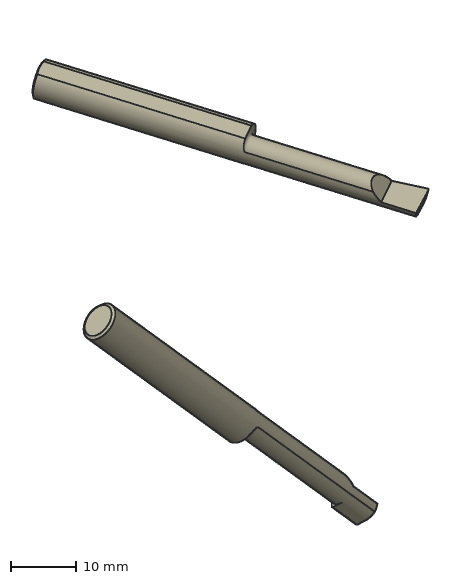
import cadquery as cq
import math

total_length = 63.5
shank_diameter = 6.35
shank_radius = shank_diameter / 2
shank_length = 34.5
flat_height = 2.885
end_chamfer_length = 0.3
end_chamfer_depth = 0.5

neck_radius = 2.31
neck_back_y = 1.27
neck_center_y = neck_back_y - neck_radius
neck_fillet = flat_height - neck_radius

head_start_x = 57.6
rake_slope_angle = 45
tip_y = 1.87
nose_radius = 0.2
side_angle = 6.1
end_face_angle = 2
end_relief_angle = 8
side_relief_angle = 8

nose_x = total_length - nose_radius
nose_y = tip_y - nose_radius
end_normal_angle = -end_face_angle
side_normal_angle = 90 + side_angle


def x_cylinder(radius, start_x, end_x, center_y=0):
    """Cylinder along X between two stations."""
    return (
        cq.Workplane("YZ", origin=(start_x, center_y, 0))
        .circle(radius)
        .extrude(end_x - start_x)
    )


def make_shank():
    """Round shank with a chamfered rear end and a clamping flat on top."""
    profile = [
        (0, 0),
        (0, shank_radius - end_chamfer_depth),
        (end_chamfer_length, shank_radius),
        (shank_length, shank_radius),
        (shank_length, 0),
    ]
    shank = cq.Workplane("XY").polyline(profile).close().revolve(360, (0, 0, 0), (1, 0, 0))
    above_flat = (
        cq.Workplane("XY", origin=(shank_length / 2, 0, flat_height))
        .box(shank_length, shank_diameter, shank_radius, centered=(True, True, False))
    )
    return shank.cut(above_flat)


def make_neck():
    """Offset round neck with a concave flare where it leaves the shank."""
    flare_end_x = shank_length + neck_fillet
    flare_radius = neck_radius + neck_fillet
    arc_offset = neck_fillet * (1 - math.sqrt(0.5))
    flare = (
        cq.Workplane("XY", origin=(0, neck_center_y, 0))
        .moveTo(shank_length, 0)
        .lineTo(shank_length, flare_radius)
        .threePointArc(
            (shank_length + arc_offset, neck_radius + arc_offset),
            (flare_end_x, neck_radius),
        )
        .lineTo(total_length, neck_radius)
        .lineTo(total_length, 0)
        .close()
        .revolve(360, (0, 0, 0), (1, 0, 0))
    )
    return flare.intersect(x_cylinder(shank_radius, shank_length, total_length))


def nose_point(angle):
    """Point of the nose arc whose outward direction has the given plan angle."""
    direction = math.radians(angle)
    return (nose_x + nose_radius * math.cos(direction), nose_y + nose_radius * math.sin(direction))


def make_tip():
    """Widening wedge with a rounded nose; its slanted sweep gives the end and side relief."""
    side_tangent = nose_point(side_normal_angle)
    end_tangent = nose_point(end_normal_angle)
    nose_middle = nose_point((side_normal_angle + end_normal_angle) / 2)
    side_slope = math.tan(math.radians(side_angle))
    side_start_y = side_tangent[1] - (side_tangent[0] - head_start_x) * side_slope
    face_lean = math.radians(end_face_angle)
    setback = neck_radius * math.tan(math.radians(end_relief_angle))
    inset = neck_radius * math.tan(math.radians(side_relief_angle))
    across_face = cq.Vector(math.cos(face_lean), -math.sin(face_lean), 0)
    along_face = cq.Vector(math.sin(face_lean), math.cos(face_lean), 0)
    sweep = cq.Vector(0, 0, -neck_radius) - across_face * setback - along_face * inset
    inner_y = neck_center_y - sweep.y
    inner_end_x = end_tangent[0] - (end_tangent[1] - inner_y) * math.tan(face_lean)
    outline = (
        cq.Workplane("XY")
        .moveTo(head_start_x, inner_y)
        .lineTo(head_start_x, side_start_y)
        .lineTo(*side_tangent)
        .threePointArc(nose_middle, end_tangent)
        .lineTo(inner_end_x, inner_y)
        .close()
        .val()
    )
    wedge = cq.Workplane(cq.Solid.extrudeLinear(outline, [], sweep))
    envelope = x_cylinder(tip_y - neck_center_y, 0, total_length, neck_center_y)
    return wedge.intersect(envelope)


def make_rake_cutter():
    """Space above the rake face, closed at the back by the sloped run-out."""
    slope_run = shank_diameter / math.tan(math.radians(rake_slope_angle))
    return (
        cq.Workplane("XZ")
        .polyline([
            (head_start_x, 0),
            (total_length, 0),
            (total_length, shank_diameter),
            (head_start_x - slope_run, shank_diameter),
        ])
        .close()
        .extrude(shank_diameter, both=True)
    )


def make_end_cutter():
    """Half space beyond the relieved end face, set on the straight end edge."""
    size = 4 * shank_diameter
    end_x, end_y = nose_point(end_normal_angle)
    return (
        cq.Workplane("XY")
        .box(size, size, size, centered=(False, True, True))
        .rotate((0, 0, 0), (0, 1, 0), end_relief_angle)
        .rotate((0, 0, 0), (0, 0, 1), end_normal_angle)
        .translate((end_x, end_y, 0))
    )


bar = make_shank().union(make_neck()).cut(make_end_cutter())
result = bar.union(make_tip()).cut(make_rake_cutter())